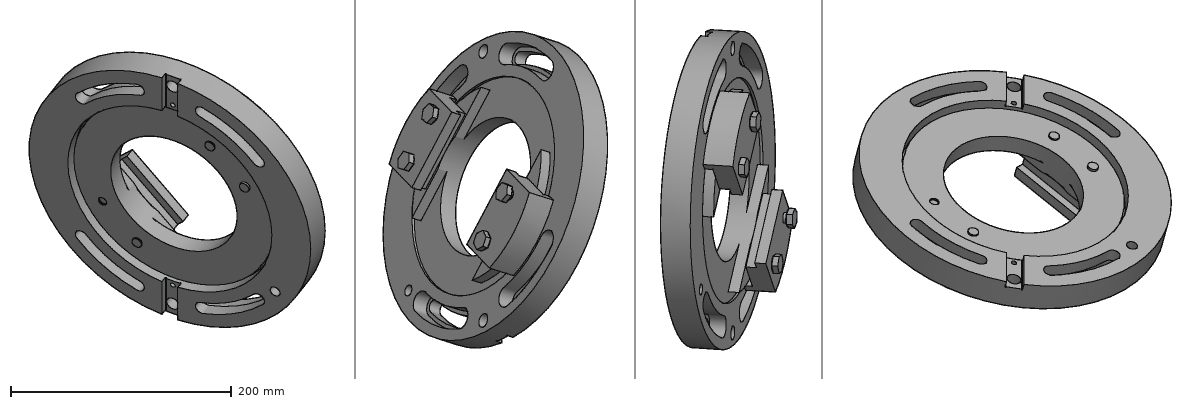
import cadquery as cq
import math


ring_radius = 145.0
ring_thickness = 28.0
recess_radius = 105.0
recess_shoulder_depth = 14.0

slot_path_radius = 124.0
slot_width = 12.5
slot_start_angle = 42.8
slot_end_angle = 74.8
tee_slot_width = 20.3
slot_lip = 12.5

key_slot_width = 16.2
key_slot_depth = 5.8
key_relief = 1.0
key_hole_diameter = 12.8
key_hole_position = 132.8
key_blind_diameter = 4.5
key_blind_position = 110.2
key_blind_depth = 10.0
drill_point_angle = 118.0

side_hole_diameter = 10.2
side_hole_position = 127.5
side_hole_angle = -31.9

turn_angle = 46.1
hub_radius = 103.0
hub_face_depth = 7.8
hub_back = 25.5
bore_radius = 65.0

pad_top = 36.0
pad_inner_distance = 62.5
pad_radius = 93.5

clamp_top = 56.3
clamp_width = 80.0
clamp_inner_distance = 57.0
clamp_outer_radius = 112.0
undercut_depth = 7.8
jaw_thickness = 10.5

screw_spacing = 50.0
screw_distance = 80.0
shank_radius = 5.0
screw_length = 50.0
head_height = 6.5
washer_face_height = 0.5
washer_face_radius = 7.5
head_across_flats = 16.0
tapping_diameter = 8.5
screw_settings = [
    (1, 1, 0.0, 42.0),
    (1, -1, -1.0, 29.0),
    (-1, 1, 3.5, 34.0),
    (-1, -1, 0.0, 0.0),
]


def plane_at(y):
    """Sketch plane facing the open side, at the given Y."""
    return cq.Workplane("XZ", origin=(0, y, 0))


def cylinder(radius, y_start, y_end, x=0.0, z=0.0):
    return plane_at(y_start).center(x, z).circle(radius).extrude(y_start - y_end)


def turned(body, angle):
    """Turn a body about the Y axis, counterclockwise when seen from the open face."""
    return body.rotate((0, 0, 0), (0, -1, 0), angle)


def polar(radius, angle):
    return (radius * math.cos(math.radians(angle)), radius * math.sin(math.radians(angle)))


def curved_slot(width, y_start):
    """Round-ended cutter along the slot path in the +X, +Z quarter, from y_start to the ring's back."""
    inner = slot_path_radius - width / 2
    outer = slot_path_radius + width / 2
    middle_angle = (slot_start_angle + slot_end_angle) / 2
    cap_angle = math.degrees(width / 2 / slot_path_radius)
    return (
        plane_at(y_start)
        .moveTo(*polar(outer, slot_start_angle))
        .threePointArc(polar(outer, middle_angle), polar(outer, slot_end_angle))
        .threePointArc(polar(slot_path_radius, slot_end_angle + cap_angle), polar(inner, slot_end_angle))
        .threePointArc(polar(inner, middle_angle), polar(inner, slot_start_angle))
        .threePointArc(polar(slot_path_radius, slot_start_angle - cap_angle), polar(outer, slot_start_angle))
        .close()
        .extrude(y_start - ring_thickness)
    )


def key_slot():
    """Cutter for the key slot on the +Z side and its two holes."""
    channel = (
        plane_at(0)
        .center(0, ring_radius / 2)
        .rect(key_slot_width, ring_radius)
        .extrude(-key_slot_depth)
    )
    corner_reliefs = (
        plane_at(key_slot_depth)
        .pushPoints([(side * (key_slot_width - key_relief) / 2, ring_radius / 2) for side in (-1, 1)])
        .rect(key_relief, ring_radius)
        .extrude(-key_relief)
    )
    through_hole = cylinder(key_hole_diameter / 2, 0, ring_thickness, z=key_hole_position)
    blind_radius = key_blind_diameter / 2
    blind_end = key_slot_depth + key_blind_depth
    point_length = blind_radius / math.tan(math.radians(drill_point_angle / 2))
    blind_hole = cylinder(blind_radius, 0, blind_end, z=key_blind_position)
    drill_point = cq.Workplane(
        cq.Solid.makeCone(
            blind_radius, 0, point_length, cq.Vector(0, blind_end, key_blind_position), cq.Vector(0, 1, 0)
        )
    )
    return channel.union(corner_reliefs).union(through_hole).union(blind_hole).union(drill_point)


def make_ring():
    ring = cylinder(ring_radius, 0, ring_thickness)
    ring = ring.cut(cylinder(hub_radius, 0, ring_thickness))
    ring = ring.cut(cylinder(recess_radius, 0, recess_shoulder_depth))
    slot = curved_slot(slot_width, 0).union(curved_slot(tee_slot_width, slot_lip))
    for side_slot in (slot, slot.mirror("YZ")):
        ring = ring.cut(side_slot).cut(side_slot.mirror("XY"))
    for angle in (0, 180):
        ring = ring.cut(turned(key_slot(), angle))
    side_x, side_z = polar(side_hole_position, side_hole_angle)
    return ring.cut(cylinder(side_hole_diameter / 2, 0, ring_thickness, side_x, side_z))


def hub_pads():
    """Two opposite pads, before the hub is turned: flat inside, round outside."""
    pads = cylinder(pad_radius, hub_back, pad_top)
    gap = plane_at(hub_back).rect(2 * pad_inner_distance, 2 * pad_radius).extrude(hub_back - pad_top)
    return pads.cut(gap)


def screw_place(along, across):
    return (along * screw_distance, across * screw_spacing / 2)


def make_hub(screws):
    hub = cylinder(hub_radius, hub_face_depth, hub_back).union(hub_pads())
    hub = hub.cut(cylinder(bore_radius, hub_face_depth, pad_top))
    for along, across, _, _ in screw_settings:
        x, z = screw_place(along, across)
        hub = hub.cut(cylinder(tapping_diameter / 2, hub_face_depth, pad_top, x, z))
    for screw in screws:
        hub = hub.cut(screw)
    return hub


def make_clamp(angle, screws):
    """Clamp straddling a pad, with an overhanging jaw towards the bore."""
    corner_z = clamp_width / 2
    corner_x = math.sqrt(clamp_outer_radius**2 - corner_z**2)
    clamp = (
        plane_at(ring_thickness)
        .moveTo(clamp_inner_distance, -corner_z)
        .lineTo(corner_x, -corner_z)
        .threePointArc((clamp_outer_radius, 0), (corner_x, corner_z))
        .lineTo(clamp_inner_distance, corner_z)
        .close()
        .extrude(ring_thickness - clamp_top)
    )
    undercut = (
        plane_at(ring_thickness)
        .center(clamp_inner_distance + undercut_depth / 2, 0)
        .rect(undercut_depth, clamp_width)
        .extrude(ring_thickness + jaw_thickness - clamp_top)
    )
    pocket = cylinder(recess_radius, ring_thickness, pad_top)
    clamp = turned(clamp.cut(undercut).cut(pocket), angle)
    for screw in screws:
        clamp = clamp.cut(screw)
    return clamp


def make_screw(along, across, lift, hex_angle):
    """Hexagon-head screw pointing towards the open face."""
    x, z = screw_place(along, across)
    seat = clamp_top + lift
    shank = cylinder(shank_radius, seat - screw_length, seat, x, z)
    across_corners = head_across_flats / math.cos(math.radians(30))
    head = (
        plane_at(seat + washer_face_height)
        .polygon(6, across_corners)
        .extrude(washer_face_height - head_height)
        .union(cylinder(washer_face_radius, seat, seat + washer_face_height))
    )
    return shank.union(turned(head, hex_angle - turn_angle).translate((x, 0, z)))


ring = make_ring()
screws = [make_screw(*setting) for setting in screw_settings]
hub = make_hub(screws)
clamps = [make_clamp(angle, screws) for angle in (0, 180)]

turned_bodies = [turned(body, turn_angle).val() for body in [hub, *clamps, *screws]]
result = cq.Compound.makeCompound([ring.val(), *turned_bodies])